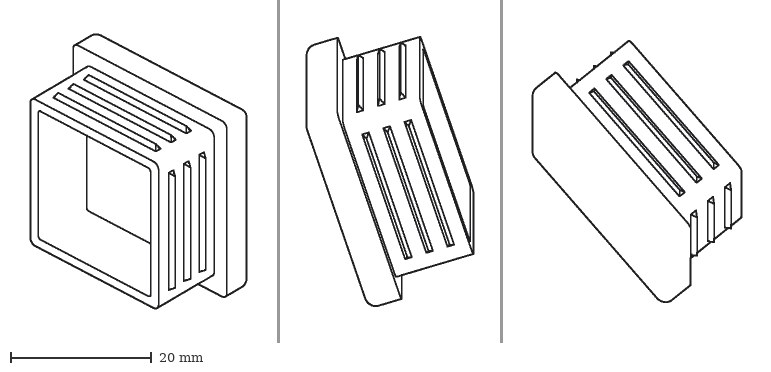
import cadquery as cq


cap_side = 30.0
total_depth = 16.5
cap_thickness = 5.0
cap_overhang = 2.5
cap_face_radius = 1.5
corner_radius = 1.0

plug_side = cap_side - 2 * cap_overhang
plug_depth = total_depth - cap_thickness
wall = 1.55
cavity_depth = 10.0
cavity_corner_radius = 0.45

rib_length = 20.0
rib_width = 1.0
rib_height = 0.8
rib_spacing = 3.15
ribs_per_side = 3
rib_root_overlap = 0.15
plug_faces = 4


def square_block(side, start_y, depth, radius):
    """Square block centred on the Y axis, with rounded edges along Y, growing towards +Y."""
    block = cq.Workplane("XY").box(side, depth, side, centered=(True, False, True))
    return block.edges("|Y").fillet(radius).translate((0, start_y, 0))


def make_cap():
    cap = square_block(cap_side, 0, cap_thickness, corner_radius)
    return cap.faces(">Y").edges().fillet(cap_face_radius)


def make_rib():
    """Rib along X on the plane Z = 0: a triangular ridge whose ends slope like its flanks."""
    half_width = rib_width / 2
    half_length = rib_length / 2
    ridge = (
        cq.Workplane("YZ")
        .moveTo(-half_width, -rib_root_overlap)
        .lineTo(half_width, -rib_root_overlap)
        .lineTo(half_width, 0)
        .lineTo(0, rib_height)
        .lineTo(-half_width, 0)
        .close()
        .extrude(half_length, both=True)
    )
    sloped_ends = (
        cq.Workplane("XZ")
        .moveTo(-half_length, -rib_root_overlap)
        .lineTo(half_length, -rib_root_overlap)
        .lineTo(half_length, 0)
        .lineTo(half_length - half_width, rib_height)
        .lineTo(-half_length + half_width, rib_height)
        .lineTo(-half_length, 0)
        .close()
        .extrude(rib_width, both=True)
    )
    return ridge.intersect(sloped_ends)


def add_ribs(body):
    """Rows of ribs centred along the plug depth, repeated on its four faces."""
    for row in range(ribs_per_side):
        row_y = -plug_depth / 2 + (row - (ribs_per_side - 1) / 2) * rib_spacing
        rib = make_rib().translate((0, row_y, plug_side / 2))
        for face in range(plug_faces):
            body = body.union(rib.rotate((0, 0, 0), (0, 1, 0), face * 360 / plug_faces))
    return body


plug = square_block(plug_side, -plug_depth, plug_depth, corner_radius)
cavity = square_block(plug_side - 2 * wall, -plug_depth, cavity_depth, cavity_corner_radius)

result = add_ribs(make_cap().union(plug)).cut(cavity)